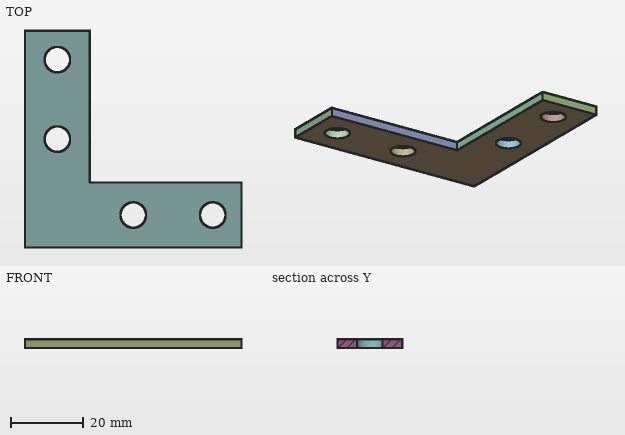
import cadquery as cq

leg_length = 60.0
leg_width = 18.0
thickness = 2.5
hole_diameter = 7.0
hole_end_distance = 8.0
hole_spacing = 22.0

outer_hole = leg_length - hole_end_distance
inner_hole = outer_hole - hole_spacing
leg_centerline = leg_width / 2


def make_plate():
    """Flat L-shaped plate with equal legs along +X and +Y."""
    outline = [
        (0, 0),
        (leg_length, 0),
        (leg_length, leg_width),
        (leg_width, leg_width),
        (leg_width, leg_length),
        (0, leg_length),
    ]
    return cq.Workplane("XY").polyline(outline).close().extrude(thickness)


def drill_holes(plate):
    """Drill two through holes on the centreline of each leg."""
    centers = []
    for distance in (inner_hole, outer_hole):
        centers.append((distance, leg_centerline))
        centers.append((leg_centerline, distance))
    return plate.faces(">Z").workplane(origin=(0, 0, thickness)).pushPoints(centers).hole(hole_diameter)


result = drill_holes(make_plate())